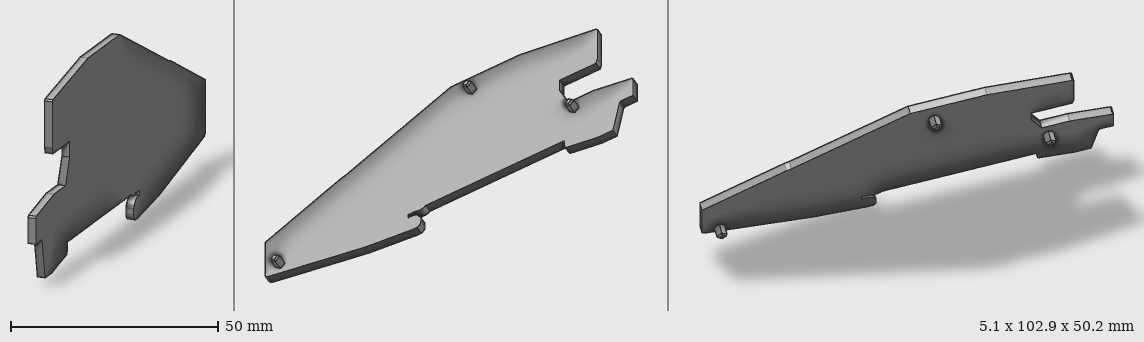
import cadquery as cq

length = 102.9
height = 50.2
plate_thickness = 2.1
pin_length = 3.0

front_edge_y = 10.0
notch_y = 20.6
notch_top_z = 32.4
tail_top_z = 21.9
tail_step_z = 12.6
foot_z = 2.3
belly_z = 7.2
slot_top_z = 6.8
slot_bottom_z = 5.6
slot_end_y = 62.9
hook_nose_y = 59.4
hook_base_y = 60.4

pin_diagonal = 2.6
pin_tip_diagonal = 1.9
pin_tip_length = 0.5
pin_embed = 0.5
pin_centres = [(98.6, 10.4), (45.0, 44.5), (16.4, 17.8)]


def make_plate():
    """Flat side panel with a notched front, a tail foot and a hook below."""
    outline = (
        cq.Workplane("YZ")
        .moveTo(length, 22.5)
        .lineTo(81.8, 34.0)
        .lineTo(80.6, 34.4)
        .lineTo(51.1, 50.1)
        .lineTo(50.8, height)
        .lineTo(31.7, height)
        .lineTo(10.4, 46.2)
        .lineTo(front_edge_y, 45.8)
        .lineTo(front_edge_y, 34.1)
        .lineTo(10.4, notch_top_z)
        .lineTo(notch_y, notch_top_z)
        .lineTo(notch_y, 28.4)
        .lineTo(18.0, tail_top_z)
        .lineTo(11.0, tail_top_z)
        .lineTo(0.3, 19.7)
        .lineTo(0, 19.1)
        .lineTo(0, tail_step_z)
        .lineTo(3.5, tail_step_z)
        .lineTo(3.8, 12.1)
        .lineTo(5.7, foot_z)
        .lineTo(9.9, foot_z)
        .lineTo(18.7, 4.1)
        .lineTo(19.0, 4.4)
        .lineTo(19.3, belly_z)
        .lineTo(57.9, belly_z)
        .threePointArc((59.5, 6.5), (60.9, slot_top_z))
        .lineTo(slot_end_y, slot_top_z)
        .lineTo(slot_end_y, slot_bottom_z)
        .lineTo(61.8, slot_bottom_z)
        .threePointArc((60.2, 4.7), (hook_nose_y, 3.1))
        .lineTo(hook_nose_y, 1.6)
        .threePointArc((59.7, 0.6), (hook_base_y, 0))
        .lineTo(61.7, 0)
        .lineTo(75.0, 1.9)
        .lineTo(102.1, 8.2)
        .lineTo(length, 9.0)
        .close()
    )
    return outline.extrude(plate_thickness)


def make_pin(centre):
    """Square pin rising to -X from the plate, with a tapered tip."""
    y, z = centre
    shank_end_x = pin_tip_length - pin_length
    shank = (
        cq.Workplane("YZ", origin=(shank_end_x, y, z))
        .polygon(4, pin_diagonal)
        .extrude(pin_embed - shank_end_x)
    )
    tip = (
        cq.Workplane("YZ", origin=(-pin_length, y, z))
        .polygon(4, pin_tip_diagonal)
        .workplane(offset=pin_tip_length)
        .polygon(4, pin_diagonal)
        .loft(ruled=True)
    )
    return shank.union(tip)


result = make_plate()
for pin_centre in pin_centres:
    result = result.union(make_pin(pin_centre))